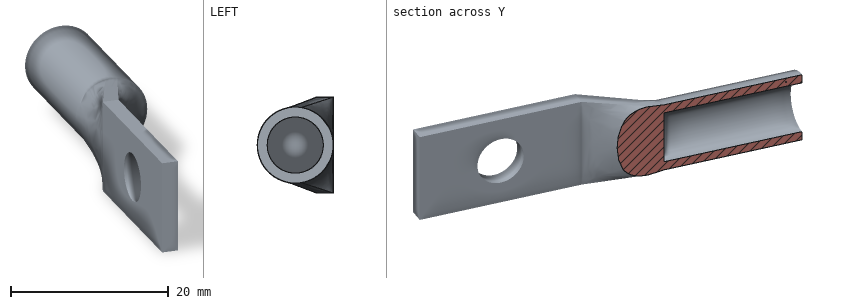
import cadquery as cq
import math

total_length = 51.55
barrel_diameter = 9.65
bore_diameter = 7.1
barrel_length = 19.0
neck_length = 10.2
tongue_width = 12.15
tongue_thickness = 2.1
hole_diameter = 6.4
side_strip_width = 1.55

barrel_radius = barrel_diameter / 2
tongue_start = barrel_length + neck_length
tongue_length = total_length - tongue_start
tongue_front = -barrel_radius
tongue_back = tongue_front + tongue_thickness


def make_barrel():
    return cq.Workplane("YZ").circle(barrel_radius).extrude(barrel_length)


def make_neck():
    """Ruled transition: each of four barrel arcs runs to one tongue edge."""
    strip_y = side_strip_width / 2
    strip_z = math.sqrt(barrel_radius**2 - strip_y**2)
    round_end = (
        cq.Workplane("YZ", origin=(barrel_length, 0, 0))
        .moveTo(-strip_y, -strip_z)
        .threePointArc((0, -barrel_radius), (strip_y, -strip_z))
        .threePointArc((barrel_radius, 0), (strip_y, strip_z))
        .threePointArc((0, barrel_radius), (-strip_y, strip_z))
        .threePointArc((-barrel_radius, 0), (-strip_y, -strip_z))
        .wire()
    )
    half_width = tongue_width / 2
    flat_end = (
        cq.Workplane("YZ", origin=(tongue_start, 0, 0))
        .moveTo(tongue_front, -half_width)
        .lineTo(tongue_back, -half_width)
        .lineTo(tongue_back, half_width)
        .lineTo(tongue_front, half_width)
        .close()
    )
    return cq.Workplane(cq.Solid.makeLoft([round_end.val(), flat_end.val()], True))


def make_tongue():
    tongue_middle = (tongue_front + tongue_back) / 2
    return (
        cq.Workplane("YZ", origin=(tongue_start, tongue_middle, 0))
        .rect(tongue_thickness, tongue_width)
        .extrude(tongue_length)
        .faces("<Y")
        .workplane(centerOption="CenterOfBoundBox")
        .hole(hole_diameter)
    )


bore = cq.Workplane("YZ").circle(bore_diameter / 2).extrude(barrel_length)

result = make_barrel().union(make_neck()).union(make_tongue()).cut(bore)